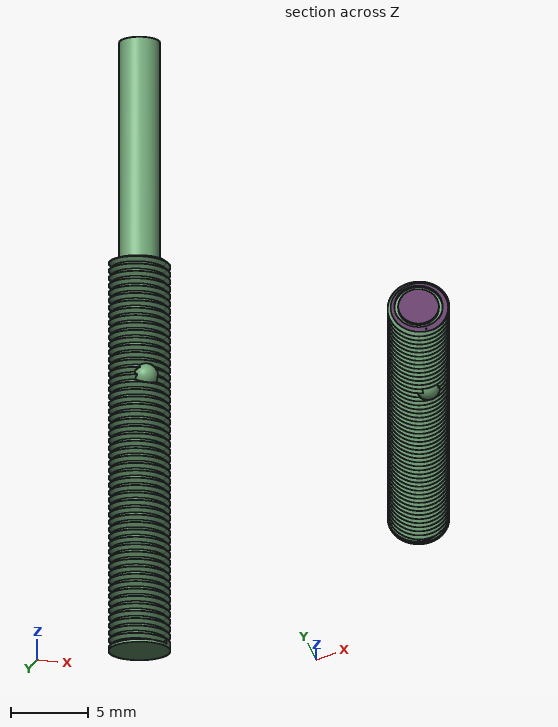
import cadquery as cq
import math

SLEEVE_LENGTH = 26.2
THREAD_DIAMETER = 4.0
ROOT_DIAMETER = 3.44
PITCH = 0.5
CREST_WIDTH = 0.02
GROOVE_START_ANGLE = -45.0
GROOVE_START_HEIGHT = 0.26

RIM_THICKNESS = 0.2

OVERALL_LENGTH = 41.16
ROD_DIAMETER = 2.65

RECESS_DIAMETER = 3.1
RECESS_DEPTH = 0.3

BALL_RADIUS = 0.8
BALL_TIP_Y = -2.26
BALL_HEIGHT = 18.2

CUTTER_OVERREACH = 0.01


def cylinder(diameter, bottom, top):
    return cq.Workplane("XY").workplane(offset=bottom).circle(diameter / 2).extrude(top - bottom)


def raised(shape, height):
    return shape.translate(cq.Vector(0, 0, height))


def groove_profile():
    """Radius and height of the three corners of the V groove: its root, then its mouth."""
    root_radius = ROOT_DIAMETER / 2
    depth = THREAD_DIAMETER / 2 - root_radius
    half_mouth = (PITCH - CREST_WIDTH) / 2
    cutter_depth = depth + CUTTER_OVERREACH
    cutter_half_mouth = half_mouth * cutter_depth / depth
    cutter_radius = root_radius + cutter_depth
    return [
        (root_radius, 0),
        (cutter_radius, -cutter_half_mouth),
        (cutter_radius, cutter_half_mouth),
    ]


def thread_groove():
    """Helical V groove cutter, one set of strips per turn, running out through the sleeve top."""
    helices = [
        raised(cq.Wire.makeHelix(PITCH, PITCH, radius, lefthand=True), height)
        for radius, height in groove_profile()
    ]
    strips = [cq.Face.makeRuledSurface(helices[i - 1], helices[i]) for i in range(len(helices))]
    start_outline = cq.Wire.makePolygon([helix.startPoint() for helix in helices], close=True)
    start_cap = cq.Face.makeFromWires(start_outline)

    turns = math.ceil((SLEEVE_LENGTH - GROOVE_START_HEIGHT) / PITCH) + 1
    faces = [start_cap, raised(start_cap, turns * PITCH)]
    for turn in range(turns):
        faces += [raised(strip, turn * PITCH) for strip in strips]

    groove = cq.Workplane(obj=cq.Solid.makeSolid(cq.Shell.makeShell(faces)))
    return groove.rotate((0, 0, 0), (0, 0, 1), GROOVE_START_ANGLE).translate((0, 0, GROOVE_START_HEIGHT))


def threaded_sleeve():
    recess_floor = SLEEVE_LENGTH - RECESS_DEPTH
    blank = cylinder(THREAD_DIAMETER, 0, SLEEVE_LENGTH)
    recess = cylinder(RECESS_DIAMETER, recess_floor, SLEEVE_LENGTH)
    rim = cylinder(THREAD_DIAMETER, 0, RIM_THICKNESS)
    return blank.cut(thread_groove()).cut(recess).union(rim)


def rod():
    return cylinder(ROD_DIAMETER, SLEEVE_LENGTH - RECESS_DEPTH, OVERALL_LENGTH)


def ball():
    centre_y = BALL_TIP_Y + BALL_RADIUS
    return cq.Workplane("XZ").sphere(BALL_RADIUS).translate((0, centre_y, BALL_HEIGHT))


result = threaded_sleeve().union(rod()).union(ball())